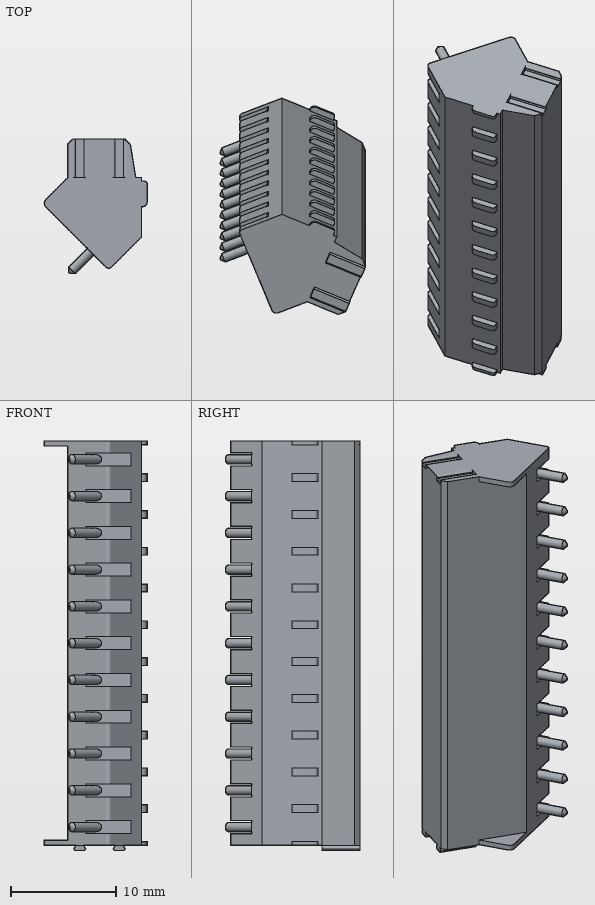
import cadquery as cq
import math

POLE_COUNT = 11
PITCH = 3.5
BODY_HEIGHT = POLE_COUNT * PITCH

PLUG_LEFT_X = 2.24
PLUG_FAR_Y = 12.83
SHOULDER_Y = 9.18
PLUG_LEFT_CHAMFER = 0.48
PLUG_RIGHT_CHAMFER = 0.56
PLUG_RIGHT_TOP_X = 8.22
PLUG_RIGHT_BASE_X = 8.72
BODY_RIGHT_X = 9.27
NOSE_X = 6.135
NOSE_Y = 0.365
NOSE_RADIUS = 0.34

END_WALL_THICKNESS = 0.5
WING_TIP_X = -0.205
WING_RADIUS = 0.5

TAB_WIDTH = 0.75
TAB_RIGHT_X = 9.81
TAB_NEAR_Y = 6.36
TAB_FAR_Y = 8.83
TAB_FAR_RADIUS = 0.3
TAB_NEAR_RADIUS = 0.5

RAIL_CENTERS_X = (3.38, 7.14)
RAIL_NECK_WIDTH = 0.77
RAIL_MAX_WIDTH = 1.15
RAIL_TIP_WIDTH = 0.85
RAIL_HEIGHT = 0.5
RAIL_MAX_DEPTH = 0.32
GROOVE_WAIST_WIDTH = 0.8
GROOVE_LIP_RADIUS = 0.17
GROOVE_MAX_WIDTH = 1.1
GROOVE_MAX_DEPTH = 0.33
GROOVE_FLOOR_WIDTH = 0.84
GROOVE_DEPTH = 0.45

PIN_DIAMETER = 0.9
PIN_TIP_CHAMFER = 0.35
PIN_AXIS_X = 2.33
SLOT_WIDTH = 1.23
SLOT_FLOOR_Y = 2.51
PIN_EMBED_DEPTH = 1.0
PIN_SLOPE = math.sin(math.radians(45))

POLE_HEIGHTS = [(i + 0.5) * PITCH for i in range(POLE_COUNT)]


def prism(points, bottom, height):
    """Extrude an XY outline upward from the given Z."""
    return cq.Workplane("XY").workplane(offset=bottom).polyline(points).close().extrude(height)


def round_vertical_edge(body, x, y, radius):
    """Fillet the vertical edge nearest to the given XY place."""
    middle = body.val().BoundingBox().center.z
    return body.edges("|Z").edges(cq.NearestToPointSelector((x, y, middle))).fillet(radius)


def make_body():
    """Inner body over the full height: plug section on top of a 45 degree nose."""
    left_corner_y = NOSE_Y + NOSE_X - PLUG_LEFT_X
    right_corner_y = NOSE_Y + BODY_RIGHT_X - NOSE_X
    outline = [
        (PLUG_LEFT_X, left_corner_y),
        (PLUG_LEFT_X, PLUG_FAR_Y - PLUG_LEFT_CHAMFER),
        (PLUG_LEFT_X + PLUG_LEFT_CHAMFER, PLUG_FAR_Y),
        (PLUG_RIGHT_TOP_X - PLUG_RIGHT_CHAMFER, PLUG_FAR_Y),
        (PLUG_RIGHT_TOP_X, PLUG_FAR_Y - PLUG_RIGHT_CHAMFER),
        (PLUG_RIGHT_BASE_X, SHOULDER_Y),
        (BODY_RIGHT_X, SHOULDER_Y),
        (BODY_RIGHT_X, right_corner_y),
        (NOSE_X, NOSE_Y),
    ]
    body = prism(outline, 0, BODY_HEIGHT)
    return round_vertical_edge(body, NOSE_X, NOSE_Y, NOSE_RADIUS)


def make_wing(bottom):
    """Triangular extension of an end wall, left of the inner body."""
    reach = PLUG_LEFT_X - WING_TIP_X
    wing_tip_y = NOSE_Y + NOSE_X - WING_TIP_X
    outline = [
        (WING_TIP_X, wing_tip_y),
        (PLUG_LEFT_X, wing_tip_y + reach),
        (PLUG_LEFT_X, wing_tip_y - reach),
    ]
    wing = prism(outline, bottom, END_WALL_THICKNESS)
    return round_vertical_edge(wing, WING_TIP_X, wing_tip_y, WING_RADIUS)


def make_tab(center_z):
    """Locating tab on the right face, cut off at the ends of the housing."""
    bottom = max(center_z - TAB_WIDTH / 2, 0)
    top = min(center_z + TAB_WIDTH / 2, BODY_HEIGHT)
    outline = [
        (PLUG_RIGHT_BASE_X, TAB_NEAR_Y),
        (TAB_RIGHT_X, TAB_NEAR_Y),
        (TAB_RIGHT_X, TAB_FAR_Y),
        (PLUG_RIGHT_BASE_X, TAB_FAR_Y),
    ]
    tab = prism(outline, bottom, top - bottom)
    tab = tab.edges("|Z and >X and >Y").fillet(TAB_FAR_RADIUS)
    return tab.edges("|Z and >X and <Y").fillet(TAB_NEAR_RADIUS)


def plug_section_plane(center_x, z):
    """Sketch plane on the open end of the plug section."""
    return cq.Workplane("XZ", origin=(center_x, PLUG_FAR_Y, z))


def make_rail(center_x):
    """Dovetail bar hanging below the bottom of the plug section."""
    half_outline = [
        (RAIL_NECK_WIDTH / 2, 0),
        (RAIL_MAX_WIDTH / 2, -RAIL_MAX_DEPTH),
        (RAIL_TIP_WIDTH / 2, -RAIL_HEIGHT),
    ]
    mirrored = [(-x, z) for x, z in reversed(half_outline)]
    sketch = plug_section_plane(center_x, 0).polyline(half_outline + mirrored).close()
    return sketch.extrude(PLUG_FAR_Y - SHOULDER_Y)


def make_groove(center_x):
    """Groove in the top with rounded lips and flanks that widen below its waist."""
    half_waist = GROOVE_WAIST_WIDTH / 2
    half_opening = half_waist + GROOVE_LIP_RADIUS
    half_max = GROOVE_MAX_WIDTH / 2
    half_floor = GROOVE_FLOOR_WIDTH / 2
    sketch = (
        plug_section_plane(center_x, BODY_HEIGHT)
        .moveTo(half_opening, 0)
        .radiusArc((half_waist, -GROOVE_LIP_RADIUS), -GROOVE_LIP_RADIUS)
        .lineTo(half_max, -GROOVE_MAX_DEPTH)
        .lineTo(half_floor, -GROOVE_DEPTH)
        .lineTo(-half_floor, -GROOVE_DEPTH)
        .lineTo(-half_max, -GROOVE_MAX_DEPTH)
        .lineTo(-half_waist, -GROOVE_LIP_RADIUS)
        .radiusArc((-half_opening, 0), -GROOVE_LIP_RADIUS)
        .close()
    )
    return sketch.extrude(PLUG_FAR_Y - SHOULDER_Y)


def make_slot(center_z):
    """Slot across the nose around one pin."""
    return (
        cq.Workplane("XY")
        .box(BODY_RIGHT_X, SLOT_FLOOR_Y, SLOT_WIDTH, centered=(False, False, True))
        .translate((0, 0, center_z))
    )


def make_pin(center_z):
    """Round pin at 45 degrees; the rim of its tip just touches Y = 0."""
    radius = PIN_DIAMETER / 2
    rim_y = radius * PIN_SLOPE
    tip_y = rim_y - PIN_TIP_CHAMFER * PIN_SLOPE
    length = (SLOT_FLOOR_Y + PIN_EMBED_DEPTH - tip_y) / PIN_SLOPE
    tip = (PIN_AXIS_X + tip_y, tip_y, center_z)
    start = cq.Plane(origin=tip, xDir=(1, -1, 0), normal=(1, 1, 0))
    pin = cq.Workplane(start).circle(radius).extrude(length)
    return pin.faces(cq.DirectionMinMaxSelector(cq.Vector(-1, -1, 0))).chamfer(PIN_TIP_CHAMFER)


result = make_body()

for wall_bottom in (0, BODY_HEIGHT - END_WALL_THICKNESS):
    result = result.union(make_wing(wall_bottom))

for tab_index in range(POLE_COUNT + 1):
    result = result.union(make_tab(tab_index * PITCH))

for rail_x in RAIL_CENTERS_X:
    result = result.union(make_rail(rail_x))
    result = result.cut(make_groove(rail_x))

for pole_z in POLE_HEIGHTS:
    result = result.cut(make_slot(pole_z))
    result = result.union(make_pin(pole_z))